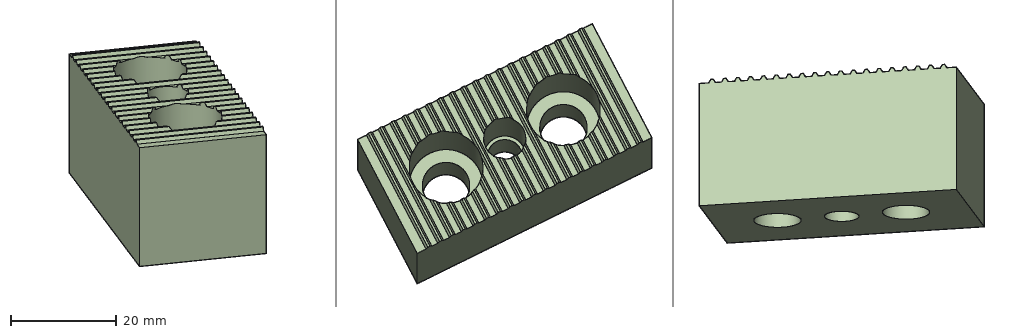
import cadquery as cq
import math

LENGTH = 50.0
WIDTH = LENGTH / 2
HEIGHT = LENGTH / 2

RIDGE_COUNT = 19
RIDGE_PITCH = LENGTH / (RIDGE_COUNT + 1)
RIDGE_BASE_WIDTH = 1.25
RIDGE_CREST_WIDTH = 0.45
RIDGE_FLANK_ANGLE = 60.0
RIDGE_HEIGHT = (RIDGE_BASE_WIDTH - RIDGE_CREST_WIDTH) / 2 * math.tan(math.radians(RIDGE_FLANK_ANGLE))
BODY_HEIGHT = HEIGHT - RIDGE_HEIGHT

SCREW_HOLE_OFFSET = LENGTH / 4
SCREW_HOLE_DIAMETER = 9.0
SCREW_BORE_DIAMETER = 14.0
CENTRE_HOLE_DIAMETER = 6.6
CENTRE_BORE_DIAMETER = 8.0
BORE_DEPTH = 15.0


def make_body():
    """Plain block up to the ridge roots, centred in X and Y, standing on Z = 0."""
    return cq.Workplane("XY").box(LENGTH, WIDTH, BODY_HEIGHT, centered=(True, True, False))


def make_ridge(x_centre):
    """One trapezoidal ridge over the full width."""
    half_base = RIDGE_BASE_WIDTH / 2
    half_crest = RIDGE_CREST_WIDTH / 2
    profile = [
        (x_centre - half_base, BODY_HEIGHT),
        (x_centre + half_base, BODY_HEIGHT),
        (x_centre + half_crest, HEIGHT),
        (x_centre - half_crest, HEIGHT),
    ]
    return cq.Workplane("XZ").polyline(profile).close().extrude(WIDTH / 2, both=True)


def make_stepped_hole(x_centre, hole_diameter, bore_diameter):
    """Cutter for a through hole with a wider flat-bottomed bore from the top."""
    through = cq.Workplane("XY").center(x_centre, 0).circle(hole_diameter / 2).extrude(HEIGHT)
    bore = (
        cq.Workplane("XY", origin=(x_centre, 0, HEIGHT))
        .circle(bore_diameter / 2)
        .extrude(-BORE_DEPTH)
    )
    return through.union(bore)


result = make_body()

for index in range(RIDGE_COUNT):
    ridge_x = (index - (RIDGE_COUNT - 1) / 2) * RIDGE_PITCH
    result = result.union(make_ridge(ridge_x))

for screw_x in (-SCREW_HOLE_OFFSET, SCREW_HOLE_OFFSET):
    result = result.cut(make_stepped_hole(screw_x, SCREW_HOLE_DIAMETER, SCREW_BORE_DIAMETER))

result = result.cut(make_stepped_hole(0, CENTRE_HOLE_DIAMETER, CENTRE_BORE_DIAMETER))